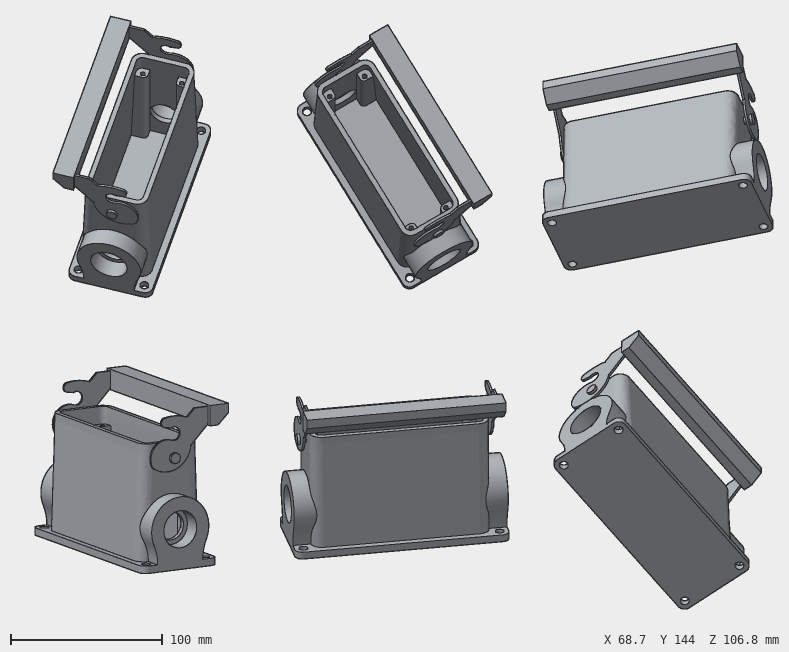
import cadquery as cq
import math

flange_width = 57.3
flange_length = 144.0
flange_thickness = 5.0
flange_corner_radius = 5.2
mount_hole_diameter = 5.8
mount_hole_inset = 6.0

rim_top_z = 84.2
rim_bottom_z = 78.8
wall_top_width = 42.9
wall_foot_width = 48.1
wall_length = 120.0
wall_corner_radius = 7.5
wall_thickness = 3.5
cavity_corner_radius = wall_corner_radius - wall_thickness

post_top_z = 72.3
post_inner_x = 9.8
post_inner_y = 49.2
post_corner_radius = 3.0
screw_x = 13.4
screw_y = 52.1
screw_hole_diameter = 3.0
screw_hole_depth = 14.4

boss_z = 27.2
boss_radius = 21.9
boss_foot_half_width = 17.3
entry_hole_diameter = 19.0
counterbore_diameter = 25.0
counterbore_depth = (flange_length - wall_length) / 2

pin_z = 73.9
pin_radius = 2.5
pin_head_radius = 3.6
pin_end_y = 66.0

bar_length = 133.8
bar_outer_x = -40.0
bar_inner_x = -25.9
bar_top_z = 106.8
bar_bottom_z = 93.0
bar_chamfer_x = 8.0
bar_chamfer_z = 7.6
arm_inner_y = 62.6
arm_thickness = 1.5
arm_outer_y = arm_inner_y + arm_thickness

arm_top_z = 105.7
arm_root_bottom_z = 94.0
shoulder_x = -15.7
valley = (-10.1, 100.2)
hook_back_middle = (-0.9, 102.0)
hook_tip_start = (7.0, 101.4)
hook_tip_middle = (9.6, 98.2)
hook_tip_end = (7.5, 95.0)
notch_start = (2.3, 94.2)
notch_middle = (-4.6, 90.1)
notch_end = (1.2, 85.7)
cam_nose_middle = (14.4, 83.0)
cam_nose_end = (16.1, 68.5)
cam_belly_middle = (1.5, 65.2)
cam_belly_end = (-12.8, 81.0)


def rounded_rectangle(width, length, radius):
    return cq.Sketch().rect(width, length).vertices().fillet(radius)


def upright_shell(inset, radius):
    """Block with the outline of the upper walls, moved in by the inset, from the draft to the rim."""
    outline = rounded_rectangle(wall_top_width - 2 * inset, wall_length - 2 * inset, radius)
    height = rim_top_z - rim_bottom_z
    return cq.Workplane("XY", origin=(0, 0, rim_bottom_z)).placeSketch(outline).extrude(height)


def drafted_shell(inset, radius):
    """Block whose long sides lean inwards: the overlap of two prisms that lean towards -X and +X."""
    outline = rounded_rectangle(wall_foot_width - 2 * inset, wall_length - 2 * inset, radius)
    foot = outline.reset().faces().val().moved(cq.Location(cq.Vector(0, 0, flange_thickness)))
    lean = cq.Vector((wall_top_width - wall_foot_width) / 2, 0, rim_bottom_z - flange_thickness)
    leaning_prism = cq.Workplane(obj=cq.Solid.extrudeLinear(foot, lean))
    return leaning_prism.intersect(leaning_prism.mirror("YZ"))


def make_shell(inset, radius):
    return drafted_shell(inset, radius).union(upright_shell(inset, radius))


def make_flange():
    return (
        cq.Workplane("XY")
        .placeSketch(rounded_rectangle(flange_width, flange_length, flange_corner_radius))
        .extrude(flange_thickness)
        .faces(">Z")
        .workplane()
        .rect(flange_width - 2 * mount_hole_inset, flange_length - 2 * mount_hole_inset, forConstruction=True)
        .vertices()
        .hole(mount_hole_diameter)
    )


def make_bosses():
    """Round bosses whose flanks flare in to an upright foot through tangent hollow arcs."""
    drop = boss_z - flange_thickness
    narrowing = boss_radius - boss_foot_half_width
    flank_radius = (drop**2 + boss_foot_half_width**2 - boss_radius**2) / (2 * narrowing)
    flank_centre_x = boss_foot_half_width + flank_radius
    tangent_angle = math.asin(drop / (boss_radius + flank_radius))
    tangent_x = boss_radius * math.cos(tangent_angle)
    tangent_z = boss_z - boss_radius * math.sin(tangent_angle)
    middle_x = flank_centre_x - flank_radius * math.cos(tangent_angle / 2)
    middle_z = flange_thickness + flank_radius * math.sin(tangent_angle / 2)
    return (
        cq.Workplane("XZ", origin=(0, flange_length / 2, 0))
        .moveTo(-boss_foot_half_width, 0)
        .lineTo(boss_foot_half_width, 0)
        .lineTo(boss_foot_half_width, flange_thickness)
        .threePointArc((middle_x, middle_z), (tangent_x, tangent_z))
        .threePointArc((0, boss_z + boss_radius), (-tangent_x, tangent_z))
        .threePointArc((-middle_x, middle_z), (-boss_foot_half_width, flange_thickness))
        .close()
        .extrude(flange_length)
    )


def make_posts(cavity):
    """Four corner posts, trimmed to the cavity so that they follow its drafted walls."""
    depth_x = wall_foot_width / 2 - post_inner_x
    depth_y = wall_length / 2 - post_inner_y
    height = post_top_z - flange_thickness
    posts = cq.Workplane("XY")
    for side_x in (-1, 1):
        for side_y in (-1, 1):
            centre = (side_x * (post_inner_x + depth_x / 2), side_y * (post_inner_y + depth_y / 2))
            post = (
                cq.Workplane("XY", origin=(*centre, flange_thickness))
                .rect(depth_x, depth_y)
                .extrude(height)
                .edges("|Z")
                .fillet(post_corner_radius)
            )
            posts = posts.add(post)
    return posts.combine().intersect(cavity)


def along_y(radius, start_y, end_y, height_z):
    """Cylinder on the XZ mid-plane running along Y."""
    return cq.Workplane("XZ", origin=(0, end_y, height_z)).circle(radius).extrude(end_y - start_y)


def make_pins():
    wall_y = wall_length / 2
    shaft = along_y(pin_radius, wall_y - wall_thickness / 2, arm_outer_y, pin_z)
    head = along_y(pin_head_radius, arm_outer_y, pin_end_y, pin_z)
    pin = shaft.union(head)
    return pin.union(pin.mirror("XZ"))


def make_housing():
    cavity = make_shell(wall_thickness, cavity_corner_radius)
    posts = make_posts(cavity)
    screw_holes = (
        cq.Workplane("XY", origin=(0, 0, post_top_z - screw_hole_depth))
        .rect(2 * screw_x, 2 * screw_y, forConstruction=True)
        .vertices()
        .circle(screw_hole_diameter / 2)
        .extrude(screw_hole_depth)
    )
    half_length = flange_length / 2
    entry_hole = along_y(entry_hole_diameter / 2, -half_length, half_length, boss_z)
    counterbore = along_y(counterbore_diameter / 2, half_length - counterbore_depth, half_length, boss_z)
    return (
        make_flange()
        .union(make_shell(0, wall_corner_radius))
        .union(make_bosses())
        .cut(cavity)
        .union(posts.cut(screw_holes))
        .cut(entry_hole)
        .cut(counterbore)
        .cut(counterbore.mirror("XZ"))
        .union(make_pins())
    )


def make_arm():
    """Flat hook plate on the +Y side, with its pivot hole."""
    plate = (
        cq.Workplane("XZ", origin=(0, arm_outer_y, 0))
        .moveTo(bar_inner_x, arm_top_z)
        .lineTo(shoulder_x, arm_top_z)
        .lineTo(*valley)
        .threePointArc(hook_back_middle, hook_tip_start)
        .threePointArc(hook_tip_middle, hook_tip_end)
        .lineTo(*notch_start)
        .threePointArc(notch_middle, notch_end)
        .threePointArc(cam_nose_middle, cam_nose_end)
        .threePointArc(cam_belly_middle, cam_belly_end)
        .lineTo(bar_inner_x, arm_root_bottom_z)
        .close()
        .extrude(arm_thickness)
    )
    return plate.cut(along_y(pin_radius, arm_inner_y, arm_outer_y, pin_z))


def make_lever():
    bar = (
        cq.Workplane("XZ", origin=(0, bar_length / 2, 0))
        .moveTo(bar_outer_x, bar_top_z)
        .lineTo(bar_inner_x, bar_top_z)
        .lineTo(bar_inner_x, bar_bottom_z)
        .lineTo(bar_outer_x + bar_chamfer_x, bar_bottom_z)
        .lineTo(bar_outer_x, bar_bottom_z + bar_chamfer_z)
        .close()
        .extrude(bar_length)
    )
    arm = make_arm()
    return bar.union(arm).union(arm.mirror("XZ"))


housing = make_housing()
lever = make_lever()
result = cq.Compound.makeCompound([housing.solids().val(), lever.solids().val()])